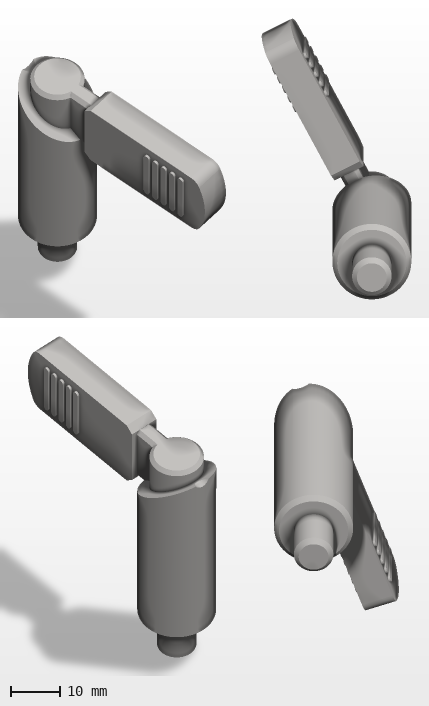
import cadquery as cq
import math

TOTAL_HEIGHT = 57.5
GRIP_END_X = 42.05

SLEEVE_DIAMETER = 16.0
SLEEVE_BOTTOM_Z = 10.0
SLEEVE_CHAMFER = 1.0
RIM_HIGH_Z = 53.9
RIM_LOW_Z = 43.6
NOTCH_RADIUS = 2.0
NOTCH_DEPTH = 1.1
NOTCH_LENGTH = 2.3

PIN_DIAMETER = 8.0
PIN_CHAMFER = 1.0
HUB_DIAMETER = 11.05
ARM_WIDTH = 3.95
ARM_CHAMFER = 0.8

GRIP_START_X = 10.0
GRIP_HEIGHT = 16.0
GRIP_THICKNESS = 6.55
GRIP_CHAMFER_LENGTH = 1.6
GRIP_CHAMFER_HEIGHT = 1.4
GRIP_END_RADIUS = 14.95
GRIP_CORNER_RADIUS = 2.5
ARM_INSET = 1.45
RIB_COUNT = 5
RIB_PITCH = 2.25
RIB_WIDTH = 1.3
RIB_HEIGHT = 12.0
RIB_PROTRUSION = 0.5
RIB_CENTER_X = 31.35

sleeve_radius = SLEEVE_DIAMETER / 2
grip_bottom_z = TOTAL_HEIGHT - GRIP_HEIGHT
grip_center_z = TOTAL_HEIGHT - GRIP_HEIGHT / 2
arm_height = GRIP_HEIGHT - 2 * ARM_INSET
hub_bottom_z = grip_bottom_z + ARM_INSET


def make_plunger():
    """Pin with a wider hub on top and a flat arm reaching out to the grip."""
    pin = (
        cq.Workplane("XY")
        .circle(PIN_DIAMETER / 2)
        .extrude(hub_bottom_z)
        .faces("<Z")
        .chamfer(PIN_CHAMFER)
    )
    hub = (
        cq.Workplane("XY", origin=(0, 0, hub_bottom_z))
        .circle(HUB_DIAMETER / 2)
        .extrude(arm_height)
        .faces(">Z")
        .chamfer(ARM_CHAMFER)
    )
    arm = (
        cq.Workplane("YZ", origin=(0, 0, grip_center_z))
        .rect(ARM_WIDTH, arm_height)
        .extrude(GRIP_START_X)
        .edges("|X")
        .chamfer(ARM_CHAMFER)
    )
    return pin.union(hub).union(arm)


def make_sleeve(plunger):
    """Tube around the plunger, cut off by a slope and notched at its high side."""
    blank = (
        cq.Workplane("XY", origin=(0, 0, SLEEVE_BOTTOM_Z))
        .circle(sleeve_radius)
        .extrude(RIM_HIGH_Z - SLEEVE_BOTTOM_Z)
        .faces("<Z")
        .chamfer(SLEEVE_CHAMFER)
    )
    wedge = (
        cq.Workplane("XZ")
        .moveTo(-sleeve_radius, RIM_HIGH_Z)
        .lineTo(sleeve_radius, RIM_HIGH_Z)
        .lineTo(sleeve_radius, RIM_LOW_Z)
        .close()
        .extrude(sleeve_radius, both=True)
    )
    notch = (
        cq.Workplane("YZ", origin=(-sleeve_radius, 0, RIM_HIGH_Z - NOTCH_DEPTH + NOTCH_RADIUS))
        .circle(NOTCH_RADIUS)
        .extrude(NOTCH_LENGTH)
    )
    return blank.cut(wedge).cut(notch).cut(plunger)


def make_grip():
    """Flat handle: chamfered where it meets the arm, domed at its free end."""
    chamfer_end_x = GRIP_START_X + GRIP_CHAMFER_LENGTH
    chamfer_low_z = grip_bottom_z + GRIP_CHAMFER_HEIGHT
    chamfer_high_z = TOTAL_HEIGHT - GRIP_CHAMFER_HEIGHT
    dome_center_x = GRIP_END_X - GRIP_END_RADIUS
    dome_corner_x = dome_center_x + math.sqrt(GRIP_END_RADIUS**2 - (GRIP_HEIGHT / 2) ** 2)
    slab = (
        cq.Workplane("XZ")
        .moveTo(GRIP_START_X, chamfer_low_z)
        .lineTo(chamfer_end_x, grip_bottom_z)
        .lineTo(dome_corner_x, grip_bottom_z)
        .threePointArc((GRIP_END_X, grip_center_z), (dome_corner_x, TOTAL_HEIGHT))
        .lineTo(chamfer_end_x, TOTAL_HEIGHT)
        .lineTo(GRIP_START_X, chamfer_high_z)
        .close()
        .extrude(GRIP_THICKNESS / 2, both=True)
        .edges("|Y")
        .edges(">X")
        .fillet(GRIP_CORNER_RADIUS)
    )
    ribs = (
        cq.Workplane("XZ", origin=(RIB_CENTER_X, 0, grip_center_z))
        .rarray(RIB_PITCH, 0.6, RIB_COUNT, 1)
        .slot2D(RIB_HEIGHT, RIB_WIDTH, 90)
        .extrude(GRIP_THICKNESS / 2 + RIB_PROTRUSION, both=True)
    )
    return slab.union(ribs)


plunger = make_plunger()
sleeve = make_sleeve(plunger)
grip = make_grip()

result = cq.Compound.makeCompound([sleeve.val(), plunger.val(), grip.val()])